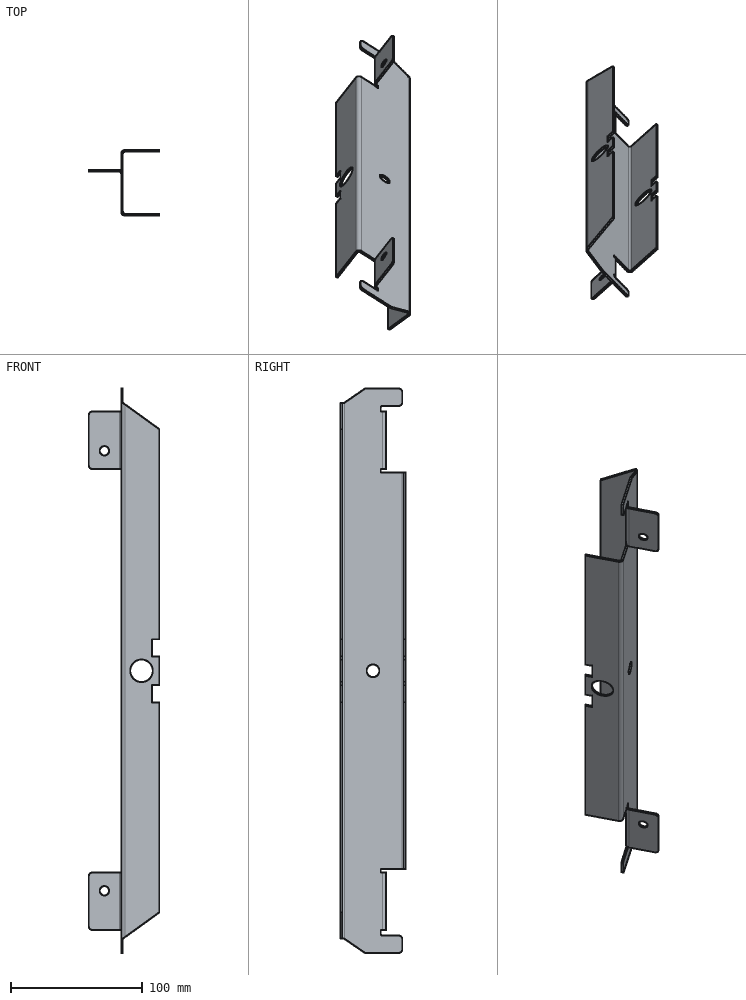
import cadquery as cq
import math

width = 50.0
height = 430.0
depth = 53.85

sheet = 1.5
bend_inside = 1.5
bend_outside = bend_inside + sheet
flange_depth = 29.2
tab_reach = depth - flange_depth

slope_start_y = -6.0
arm_edge_y = 22.4
arm_corner = 3.0
notch_inner_z = 151.0
notch_outer_z = 201.5
notch_floor_y = 6.0
slot_corner_radius = 1.0
web_hole_diameter = 9.5

front_bend_end_z = 204.0
flange_end_z = 184.0

cross_hole_diameter = 17.0
cross_hole_edge_distance = 13.6
cross_hole_x = flange_depth - cross_hole_edge_distance
edge_notch_depth = 5.5
edge_notch_width = 13.0
edge_notch_z = 17.5

tab_outer_y = 10.0
tab_bend_inside = bend_inside
tab_bend_outside = tab_bend_inside + sheet
tab_root_y = tab_outer_y - tab_bend_outside
tab_inner_z = 153.5
tab_outer_z = 197.5
tab_corner = 3.0
tab_hole_diameter = 7.0
tab_hole_edge_distance = 12.0
tab_hole_x = tab_hole_edge_distance - tab_reach
tab_hole_z = 167.5


def box(x_range, y_range, z_range):
    """Axis-aligned block between the given limits."""
    sizes = [high - low for low, high in (x_range, y_range, z_range)]
    corner = (x_range[0], y_range[0], z_range[0])
    return cq.Workplane("XY").box(*sizes, centered=False).translate(corner)


def make_channel():
    """U channel with rounded bends; the rear flange stops at the inner ends of the tab notches."""
    outer = box((0, flange_depth), (-width / 2, width / 2), (-height / 2, height / 2))
    outer = outer.edges("|Z and <X").fillet(bend_outside)
    inner_y = width / 2 - sheet
    inner = box((sheet, flange_depth), (-inner_y, inner_y), (-height / 2, height / 2))
    inner = inner.edges("|Z and <X").fillet(bend_inside)
    channel = outer.cut(inner)

    front_outline = [
        (0, front_bend_end_z),
        (sheet, front_bend_end_z),
        (flange_depth, flange_end_z),
        (flange_depth, -flange_end_z),
        (sheet, -front_bend_end_z),
        (0, -front_bend_end_z),
    ]
    front_limit = cq.Workplane("XZ").polyline(front_outline).close().extrude(width / 2)
    rear_limit = box((0, flange_depth), (0, width / 2), (-notch_inner_z, notch_inner_z))
    return channel.intersect(front_limit.union(rear_limit))


def make_web():
    """Flat web between the bends, with sloped front corners, end arms and tab notches."""
    bend_edge_y = width / 2 - bend_outside
    upper = [
        (-bend_edge_y, front_bend_end_z),
        (slope_start_y, height / 2),
        (arm_edge_y, height / 2),
        (arm_edge_y, notch_outer_z),
        (notch_floor_y, notch_outer_z),
        (notch_floor_y, notch_inner_z),
        (bend_edge_y, notch_inner_z),
    ]
    lower = [(y, -z) for y, z in reversed(upper)]
    web = cq.Workplane("YZ").polyline(upper + lower).close().extrude(sheet)
    web = web.edges("|X and >Y").fillet(arm_corner)
    for outer_slot_z in (-notch_outer_z, notch_outer_z):
        slot_corner = cq.selectors.NearestToPointSelector((sheet / 2, notch_floor_y, outer_slot_z))
        web = web.edges("|X").edges(slot_corner).fillet(slot_corner_radius)
    return web


def make_flange_cuts():
    """Cross hole and the two edge notches, through both flanges."""
    cuts = (
        cq.Workplane("XZ").center(cross_hole_x, 0).circle(cross_hole_diameter / 2).extrude(width, both=True)
    )
    for side in (-1, 1):
        middle = side * edge_notch_z
        cuts = cuts.union(box(
            (flange_depth - edge_notch_depth, flange_depth),
            (-width, width),
            (middle - edge_notch_width / 2, middle + edge_notch_width / 2),
        ))
    return cuts


def make_tab(side):
    """Tab bent from the notch floor towards -X; side is +1 for the upper end, -1 for the lower."""
    tab_length = tab_outer_z - tab_inner_z
    outer_mid = tab_bend_outside * math.sqrt(0.5)
    inner_mid = tab_bend_inside * math.sqrt(0.5)
    bend_x = -tab_bend_inside
    profile = (
        cq.Workplane("XY")
        .moveTo(sheet, notch_floor_y)
        .lineTo(sheet, tab_root_y)
        .threePointArc((bend_x + outer_mid, tab_root_y + outer_mid), (bend_x, tab_outer_y))
        .lineTo(-tab_reach, tab_outer_y)
        .lineTo(-tab_reach, tab_outer_y - sheet)
        .lineTo(bend_x, tab_outer_y - sheet)
        .threePointArc((bend_x + inner_mid, tab_root_y + inner_mid), (0, tab_root_y))
        .lineTo(0, notch_floor_y)
        .close()
    )
    tab = profile.extrude(tab_length).translate((0, 0, tab_inner_z))
    tab = tab.edges("|Y and <X").fillet(tab_corner)
    hole = (
        cq.Workplane("XZ").center(tab_hole_x, tab_hole_z).circle(tab_hole_diameter / 2).extrude(-width)
    )
    tab = tab.cut(hole)
    return tab if side > 0 else tab.mirror("XY")


def make_web_hole():
    """Round hole in the middle of the web."""
    return cq.Workplane("YZ").circle(web_hole_diameter / 2).extrude(flange_depth)


result = make_channel().union(make_web())
result = result.cut(make_flange_cuts()).cut(make_web_hole())
for side in (1, -1):
    result = result.union(make_tab(side))